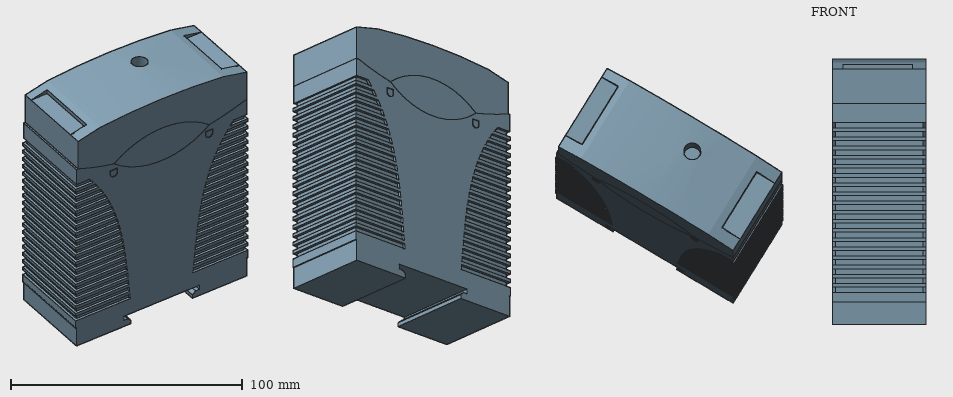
import cadquery as cq

width = 40.5
depth = 90.0
height = 114.7
half_width = width / 2
half_depth = depth / 2

wall_step = 0.5
wall_y = half_depth - wall_step
foot_top = 9.7
lip_z = 95.4
lip_width = 0.9
lip_y = wall_y - lip_width

slot_half_width = 19.7
slot_mouth_half_width = 16.0
slot_top = 5.5
hook_top = 3.3
hook_bevel_run = 1.7
hook_bevel_z = 1.8

groove_count = 19
groove_height = 2.4
groove_depth = 1.3
grooves_bottom = 13.8
grooves_top = 87.3
groove_pitch = (grooves_top - grooves_bottom - groove_height) / (groove_count - 1)
groove_floor_x = half_width - groove_depth
groove_floor_y = half_depth - groove_depth

waist_points = [(16.4, grooves_bottom), (20.4, 47.7), (27.0, 70.0), (37.8, grooves_top)]

lens_tip_y = 24.9
lens_tip_z = 90.1
lens_bottom = 81.3
lens_top = 98.9
shoulder_mid_y = 34.4
shoulder_mid_z = 92.4

recess_radius = 1.8
recess_top = 86.9
recess_depth = 0.3

cap_front_y = -43.7
cap_back_y = wall_y
cap_corner_z = 110.2
crown_edge_y = 32.1
crown_edge_z = 113.0

pocket_inner_y = 35.3
pocket_right_x = 14.3
front_pocket_left_x = -15.7
back_pocket_left_x = -14.5

hole_x = -7.2
hole_y = 7.2
hole_diameter = 7.3
hole_depth = 9.2


def side_sketch():
    """Workplane for (y, z) outlines, on the plane midway between the two broad sides."""
    return cq.Workplane("YZ")


def through_width(outline):
    """Extrude a closed (y, z) outline across the whole width."""
    return outline.extrude(half_width, both=True)


def box_between(x_range, y_range, z_range):
    """Box spanning the given (low, high) ranges."""
    sizes = [high - low for low, high in (x_range, y_range, z_range)]
    corner = (x_range[0], y_range[0], z_range[0])
    return cq.Workplane("XY").box(*sizes, centered=False).translate(corner)


def housing_block():
    """Housing before the grooves, with the rail slot and the hollow for the lens and cap."""
    outline = (
        side_sketch()
        .moveTo(-slot_mouth_half_width, 0)
        .lineTo(-wall_y, 0)
        .lineTo(-wall_y, foot_top)
        .lineTo(-half_depth, foot_top)
        .lineTo(-half_depth, grooves_top)
        .lineTo(-wall_y, grooves_top)
        .lineTo(-wall_y, lip_z)
        .lineTo(-lip_y, lip_z)
        .threePointArc((-shoulder_mid_y, shoulder_mid_z), (-lens_tip_y, lens_tip_z))
        .threePointArc((0, lens_bottom), (lens_tip_y, lens_tip_z))
        .threePointArc((shoulder_mid_y, shoulder_mid_z), (lip_y, lip_z))
        .lineTo(wall_y, lip_z)
        .lineTo(wall_y, grooves_top)
        .lineTo(half_depth, grooves_top)
        .lineTo(half_depth, foot_top)
        .lineTo(wall_y, foot_top)
        .lineTo(wall_y, 0)
        .lineTo(slot_mouth_half_width, 0)
        .lineTo(slot_mouth_half_width, hook_bevel_z)
        .lineTo(slot_mouth_half_width + hook_bevel_run, hook_top)
        .lineTo(slot_half_width, hook_top)
        .lineTo(slot_half_width, slot_top)
        .lineTo(-slot_half_width, slot_top)
        .lineTo(-slot_half_width, hook_top)
        .lineTo(-slot_mouth_half_width - hook_bevel_run, hook_top)
        .lineTo(-slot_mouth_half_width, hook_bevel_z)
        .close()
    )
    return through_width(outline)


def waist():
    """Smooth centre of the side walls that the grooves stop against."""
    left = [(-y, z) for y, z in waist_points]
    right = waist_points[::-1]
    outline = (
        side_sketch()
        .moveTo(*left[0])
        .spline(left[1:], includeCurrent=True)
        .lineTo(*right[0])
        .spline(right[1:], includeCurrent=True)
        .close()
    )
    return through_width(outline)


def grooves():
    """Material removed by the cooling grooves on both ends and both sides."""
    core = box_between(
        (-groove_floor_x, groove_floor_x),
        (-groove_floor_y, groove_floor_y),
        (grooves_bottom, grooves_top),
    ).union(waist())
    cutters = []
    for index in range(groove_count):
        z = grooves_bottom + index * groove_pitch
        slab = box_between(
            (-half_width, half_width), (-half_depth, half_depth), (z, z + groove_height)
        )
        cutters.extend(slab.cut(core).solids().vals())
    return cq.Workplane("XY").newObject(cutters).combine()


def side_recess(x, y):
    """D-shaped recess cutter with its flat edge up, starting at x and running along +X."""
    centre_z = recess_top - recess_radius
    return (
        cq.Workplane("YZ", origin=(x, y, centre_z))
        .moveTo(-recess_radius, recess_radius)
        .lineTo(-recess_radius, 0)
        .threePointArc((0, -recess_radius), (recess_radius, 0))
        .lineTo(recess_radius, recess_radius)
        .close()
        .extrude(recess_depth)
    )


def make_housing():
    body = housing_block().cut(grooves())
    for x in (-half_width, half_width - recess_depth):
        for y in (-lens_tip_y, lens_tip_y):
            body = body.cut(side_recess(x, y))
    return body


def make_lens():
    """Lens-shaped insert between the housing and the cap."""
    outline = (
        side_sketch()
        .moveTo(-lens_tip_y, lens_tip_z)
        .threePointArc((0, lens_bottom), (lens_tip_y, lens_tip_z))
        .threePointArc((0, lens_top), (-lens_tip_y, lens_tip_z))
        .close()
    )
    return through_width(outline)


def cap_block():
    """Cap resting on the housing lips and shoulders and on the top of the lens."""
    outline = (
        side_sketch()
        .moveTo(cap_front_y, lip_z)
        .lineTo(cap_front_y, cap_corner_z)
        .lineTo(-crown_edge_y, crown_edge_z)
        .threePointArc((0, height), (crown_edge_y, crown_edge_z))
        .lineTo(cap_back_y, cap_corner_z)
        .lineTo(cap_back_y, lip_z)
        .lineTo(lip_y, lip_z)
        .threePointArc((shoulder_mid_y, shoulder_mid_z), (lens_tip_y, lens_tip_z))
        .threePointArc((0, lens_top), (-lens_tip_y, lens_tip_z))
        .threePointArc((-shoulder_mid_y, shoulder_mid_z), (-lip_y, lip_z))
        .close()
    )
    return through_width(outline)


def make_cap():
    pocket_z = (cap_corner_z, height)
    front_pocket = box_between(
        (front_pocket_left_x, pocket_right_x), (-half_depth, -pocket_inner_y), pocket_z
    )
    back_pocket = box_between(
        (back_pocket_left_x, pocket_right_x), (pocket_inner_y, half_depth), pocket_z
    )
    hole = (
        cq.Workplane("XY", origin=(hole_x, hole_y, height - hole_depth))
        .circle(hole_diameter / 2)
        .extrude(hole_depth)
    )
    return cap_block().cut(front_pocket).cut(back_pocket).cut(hole)


housing = make_housing()
lens = make_lens()
cap = make_cap()

result = cq.Compound.makeCompound([body.solids().val() for body in (housing, lens, cap)])